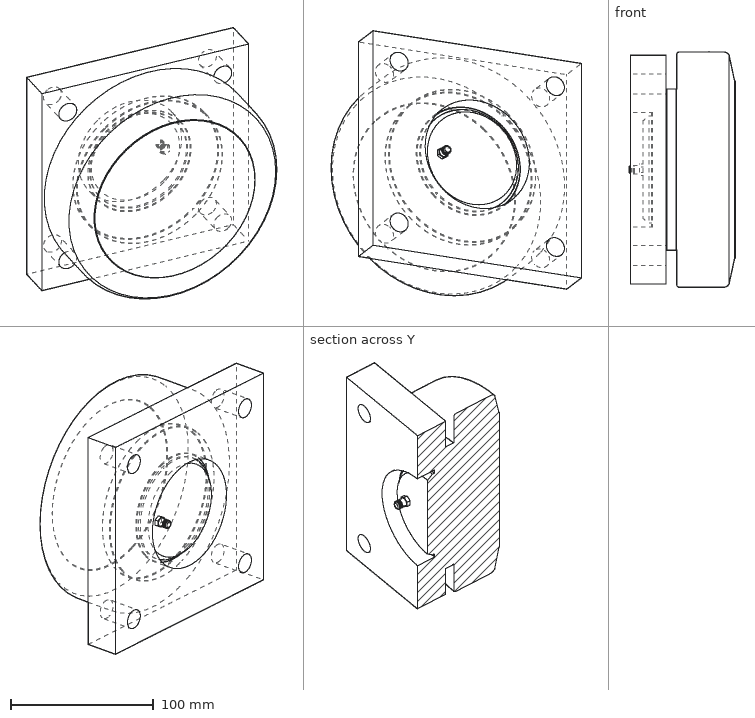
import cadquery as cq
import math


plate_side = 160.0
plate_thickness = 25.0
bolt_hole_diameter = 13.9
bolt_spacing = 120.0
bore_diameter = 80.0

neck_diameter = 113.0
neck_chamfer = 0.5
spigot_start = 14.8
roller_start = 32.3
roller_end = 73.5
roller_radius = 82.5
crown_rise = 0.08
back_round = 2.0
crown_end = 65.2
front_round = 4.0
cone_start_radius = 80.0
cone_end_radius = 62.4
front_face_radius = 61.9

shaft_diameter = 75.0
shaft_face = 8.9
shaft_chamfer_length = 4.3
shaft_chamfer_depth = 3.3

nipple_offset = 23.1
nipple_tip = -0.8
nipple_diameter = 6.0
nipple_chamfer = 0.8
hex_across_flats = 7.0
hex_height = 2.6
groove_diameter = 5.0
groove_width = 0.5
groove_starts = (0.7, 2.3)


def x_cylinder(diameter, start, end):
    """Cylinder on the X axis between two X positions."""
    return cq.Workplane("YZ", origin=(start, 0, 0)).circle(diameter / 2).extrude(end - start)


def turn_about_x(profile):
    """Revolve an XY profile a full turn about the X axis."""
    return profile.close().revolve(360, (0, 0, 0), (1, 0, 0))


def make_plate():
    plate = cq.Workplane("YZ").rect(plate_side, plate_side).extrude(plate_thickness)
    bolt_holes = (
        cq.Workplane("YZ")
        .rect(bolt_spacing, bolt_spacing, forConstruction=True)
        .vertices()
        .circle(bolt_hole_diameter / 2)
        .extrude(plate_thickness)
    )
    return plate.cut(bolt_holes).cut(x_cylinder(bore_diameter, 0, plate_thickness))


def make_roller():
    edge_radius = roller_radius - crown_rise
    crown_start = roller_start + back_round
    half_chord = math.sqrt(0.5)
    cone_start = crown_end + front_round
    profile = (
        cq.Workplane("XY")
        .moveTo(roller_start, 0)
        .lineTo(roller_start, edge_radius - back_round)
        .threePointArc(
            (crown_start - back_round * half_chord, edge_radius - back_round + back_round * half_chord),
            (crown_start, edge_radius),
        )
        .threePointArc(((crown_start + crown_end) / 2, roller_radius), (crown_end, edge_radius))
        .tangentArcPoint((cone_start, cone_start_radius), relative=False)
        .lineTo(roller_end - cone_end_radius + front_face_radius, cone_end_radius)
        .lineTo(roller_end, front_face_radius)
        .lineTo(roller_end, 0)
    )
    return turn_about_x(profile)


def make_neck():
    neck = x_cylinder(neck_diameter, plate_thickness, roller_start)
    spigot = x_cylinder(bore_diameter, spigot_start, roller_start)
    return neck.edges().chamfer(neck_chamfer).union(spigot.faces("<X").chamfer(neck_chamfer))


def make_shaft_end():
    shaft_radius = shaft_diameter / 2
    profile = (
        cq.Workplane("XY")
        .moveTo(shaft_face, 0)
        .lineTo(shaft_face, shaft_radius - shaft_chamfer_depth)
        .lineTo(shaft_face + shaft_chamfer_length, shaft_radius)
        .lineTo(spigot_start, shaft_radius)
        .lineTo(spigot_start, 0)
    )
    return turn_about_x(profile)


def make_nipple():
    hex_start = shaft_face - hex_height
    hex_corner_diameter = hex_across_flats / math.cos(math.radians(30))
    hexagon = (
        cq.Workplane("YZ", origin=(hex_start, 0, 0))
        .transformed(rotate=(0, 0, 90))
        .polygon(6, hex_corner_diameter)
        .extrude(hex_height)
    )
    stem = x_cylinder(nipple_diameter, nipple_tip, hex_start).faces("<X").chamfer(nipple_chamfer)
    for groove_start in groove_starts:
        groove_end = groove_start + groove_width
        ring = x_cylinder(nipple_diameter, groove_start, groove_end)
        core = x_cylinder(groove_diameter, groove_start, groove_end)
        stem = stem.cut(ring.cut(core))
    return hexagon.union(stem).translate((0, nipple_offset, 0))


result = (
    make_plate()
    .union(make_neck())
    .union(make_roller())
    .union(make_shaft_end())
    .union(make_nipple())
)